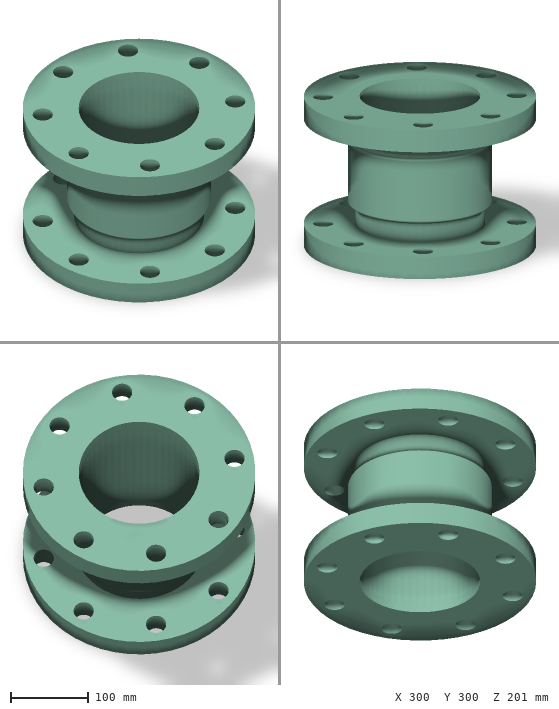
import cadquery as cq

flange_diameter = 300.0
flange_thickness = 30.0
overall_height = 201.0

bolt_count = 8
bolt_circle_diameter = 250.0
bolt_hole_diameter = 26.0

pipe_diameter = 168.3
bore_diameter = 155.7

sleeve_diameter = 186.0
sleeve_length = 85.8
sleeve_edge_radius = 3.0
weld_size = 3.0


def cylinder(diameter, bottom, height):
    return cq.Workplane("XY").workplane(offset=bottom).circle(diameter / 2).extrude(height)


def make_flange(bottom):
    """Flat ring flange, drilled with the bolt pattern."""
    step_angle = 360 / bolt_count
    return (
        cylinder(flange_diameter, bottom, flange_thickness)
        .faces(">Z")
        .workplane()
        .polarArray(bolt_circle_diameter / 2, step_angle / 2, 360, bolt_count)
        .hole(bolt_hole_diameter)
    )


def make_sleeve():
    """Thick band with rounded end edges, centred on the height."""
    return cylinder(sleeve_diameter, -sleeve_length / 2, sleeve_length).edges().fillet(sleeve_edge_radius)


def make_weld_beads():
    """Conical beads that fill the corners between the pipe and the sleeve ends."""
    sleeve_end = sleeve_length / 2
    pipe_radius = pipe_diameter / 2
    upper = (
        cq.Workplane("XZ")
        .moveTo(0, sleeve_end)
        .lineTo(pipe_radius + weld_size, sleeve_end)
        .lineTo(pipe_radius, sleeve_end + weld_size)
        .lineTo(0, sleeve_end + weld_size)
        .close()
        .revolve(360, (0, 0), (0, 1))
    )
    return upper.union(upper.mirror("XY"))


top = overall_height / 2
pipe = cylinder(pipe_diameter, -top, overall_height)
bore = cylinder(bore_diameter, -top, overall_height)

result = (
    pipe.union(make_flange(-top))
    .union(make_flange(top - flange_thickness))
    .union(make_sleeve())
    .union(make_weld_beads())
    .cut(bore)
)